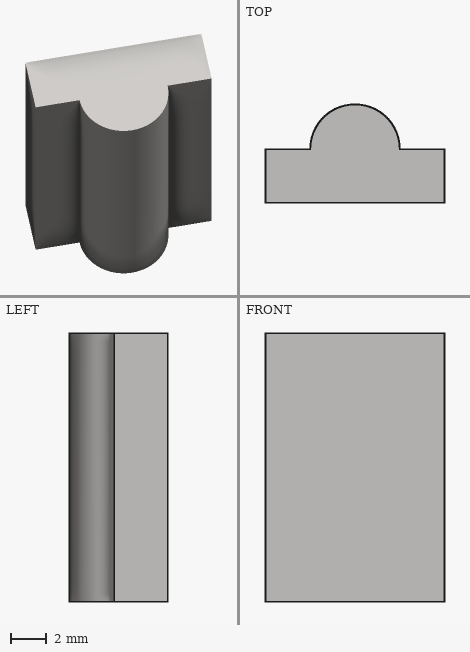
import cadquery as cq

height = 15.0
plate_width = 10.0
plate_thickness = 3.0
rib_radius = 2.5

plate = cq.Workplane("XY").box(plate_width, plate_thickness, height, centered=(True, False, False))

rib = cq.Workplane("XY").center(0, plate_thickness).circle(rib_radius).extrude(height)

result = plate.union(rib)